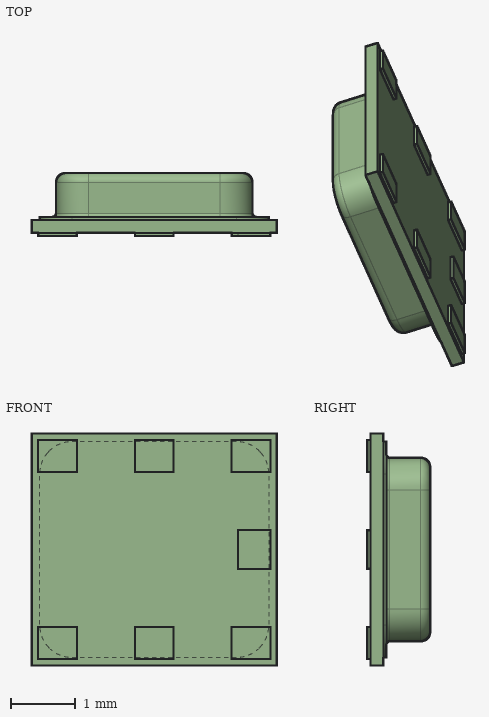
import cadquery as cq

board_width = 3.8
board_height = 3.6
board_thickness = 0.2

pad_long = 0.6
pad_short = 0.5
pad_thickness = 0.05
pad_edge_gap = 0.1

flange_margin = 0.125
flange_thickness = 0.05
can_margin = 0.375
can_height = 0.68
corner_radius = 0.5
can_edge_radius = 0.152
can_foot_radius = 0.05

selection_gap = 0.02


def block(width, height, y_start, thickness, x=0, z=0):
    """Plate centred at (x, z), running from y_start towards +Y."""
    return (
        cq.Workplane("XY")
        .box(width, thickness, height)
        .translate((x, y_start + thickness / 2, z))
    )


def rounded_plate(margin, y_start, thickness):
    """Plate inset from the board outline, with its four corners rounded."""
    plate = block(board_width - 2 * margin, board_height - 2 * margin, y_start, thickness)
    return plate.edges("|Y").fillet(corner_radius)


board = block(board_width, board_height, 0, board_thickness)

flange_top = board_thickness + flange_thickness
flange = rounded_plate(flange_margin, board_thickness, flange_thickness)
can = rounded_plate(can_margin, flange_top, can_height)
can = can.faces(">Y").edges().fillet(can_edge_radius)
can_half_width = board_width / 2 - can_margin
can_half_height = board_height / 2 - can_margin
foot_selector = cq.selectors.BoxSelector(
    (-can_half_width - selection_gap, flange_top - selection_gap, -can_half_height - selection_gap),
    (can_half_width + selection_gap, flange_top + selection_gap, can_half_height + selection_gap),
    boundingbox=True,
)
lid = flange.union(can).edges(foot_selector).fillet(can_foot_radius)

result = board.union(lid)

row_x = board_width / 2 - pad_edge_gap - pad_long / 2
row_z = board_height / 2 - pad_edge_gap - pad_short / 2
for z in (-row_z, row_z):
    for x in (-row_x, 0, row_x):
        result = result.union(block(pad_long, pad_short, -pad_thickness, pad_thickness, x, z))

side_pad_x = board_width / 2 - pad_edge_gap - pad_short / 2
result = result.union(block(pad_short, pad_long, -pad_thickness, pad_thickness, side_pad_x))